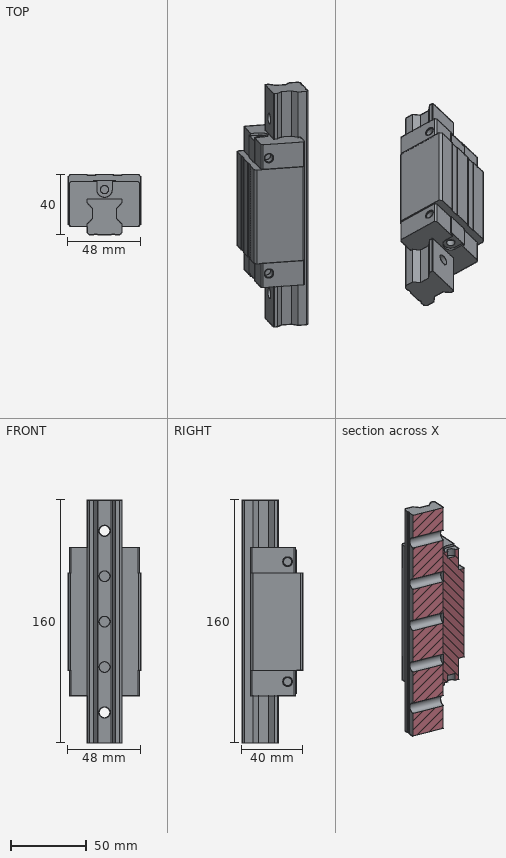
import cadquery as cq

RAIL_LENGTH = 160.0
RAIL_WIDTH = 23.0
RAIL_HEIGHT = 23.8
RAIL_WAIST_WIDTH = 15.8
RAIL_FOOT_CHAMFER = 1.6
RAIL_HEAD_CHAMFER = 0.5
FOOT_SIDE_TOP = 7.2
WAIST_BOTTOM = 10.7
WAIST_TOP = 17.5
HEAD_SIDE_BOTTOM = 21.3

FOOT_GROOVE_OFFSET = 5.8
FOOT_GROOVE_MOUTH = 2.9
FOOT_GROOVE_FLOOR = 1.3
FOOT_GROOVE_DEPTH = 0.5

BOLT_HOLE_DIAMETER = 7.0
BOLT_HOLE_PITCH = 30.0
BOLT_HOLE_COUNT = 5

CARRIAGE_LENGTH = 98.0
CARRIAGE_BOTTOM = 5.5
CARRIAGE_TOP = 40.0
BLOCK_LENGTH = 64.3
BLOCK_WIDTH = 48.0
BLOCK_CHAMFER = 1.6
CAP_WIDTH = 46.4
CAP_TOP = 35.2
CAP_CHAMFER = 1.1

TOP_GROOVE_OFFSET = 8.6
TOP_GROOVE_WIDTH = 5.6
TOP_GROOVE_DEPTH = 0.5

PORT_DIAMETER = 5.5
PORT_COUNTERSINK = 0.5
PORT_DEPTH = 6.4
PORT_HEIGHT = 30.0
PORT_INSET = 9.5
PORT_RECESS_WIDTH = 10.2
PORT_RECESS_DEPTH = 1.6

PAD_WIDTH = 14.4
PAD_HEIGHT = 0.6
PAD_LENGTH = CARRIAGE_LENGTH - 2 * PORT_RECESS_DEPTH


def rail_profile():
    """Closed outline of the rail: one half and its mirror image."""
    side = RAIL_WIDTH / 2
    waist = RAIL_WAIST_WIDTH / 2
    half = [
        (side - RAIL_FOOT_CHAMFER, 0),
        (side, RAIL_FOOT_CHAMFER),
        (side, FOOT_SIDE_TOP),
        (waist, WAIST_BOTTOM),
        (waist, WAIST_TOP),
        (side, HEAD_SIDE_BOTTOM),
        (side, RAIL_HEIGHT - RAIL_HEAD_CHAMFER),
        (side - RAIL_HEAD_CHAMFER, RAIL_HEIGHT),
    ]
    return half + [(-x, y) for x, y in reversed(half)]


def extrude_along_rail(outline, length):
    """Extrude a closed XY outline along Z, centred on Z = 0."""
    return cq.Workplane("XY").polyline(outline).close().extrude(length / 2, both=True)


def rail_bar():
    return extrude_along_rail(rail_profile(), RAIL_LENGTH)


def foot_groove(center_x):
    mouth = FOOT_GROOVE_MOUTH / 2
    floor = FOOT_GROOVE_FLOOR / 2
    outline = [
        (center_x - mouth, 0),
        (center_x + mouth, 0),
        (center_x + floor, FOOT_GROOVE_DEPTH),
        (center_x - floor, FOOT_GROOVE_DEPTH),
    ]
    return extrude_along_rail(outline, RAIL_LENGTH)


def make_rail():
    rail = rail_bar()
    for side in (-1, 1):
        rail = rail.cut(foot_groove(side * FOOT_GROOVE_OFFSET))
    bolt_holes = (
        cq.Workplane("XZ")
        .rarray(1.6, BOLT_HOLE_PITCH, 1, BOLT_HOLE_COUNT)
        .circle(BOLT_HOLE_DIAMETER / 2)
        .extrude(-RAIL_HEIGHT)
    )
    return rail.cut(bolt_holes)


def chamfered_block(width, top, length, chamfer):
    """Block standing on the carriage bottom plane with its four Z edges chamfered."""
    height = top - CARRIAGE_BOTTOM
    return (
        cq.Workplane("XY")
        .box(width, height, length)
        .edges("|Z")
        .chamfer(chamfer)
        .translate((0, CARRIAGE_BOTTOM + height / 2, 0))
    )


def top_groove(center_x):
    return cq.Workplane("XY").box(TOP_GROOVE_WIDTH, 2 * TOP_GROOVE_DEPTH, BLOCK_LENGTH).translate(
        (center_x, CARRIAGE_TOP, 0)
    )


def cap_pads():
    """One bar through the main block whose ends form the pads of both caps."""
    return cq.Workplane("XY").box(PAD_WIDTH, 2 * PAD_HEIGHT, PAD_LENGTH).translate((0, CAP_TOP, 0))


def port_hole(mouth, direction):
    """Blind port drilled from its mouth along the given direction."""
    return cq.Workplane(cq.Solid.makeCylinder(
        PORT_DIAMETER / 2, PORT_DEPTH, cq.Vector(*mouth), cq.Vector(*direction)
    ))


def side_port_countersink(side, port_z):
    """Conical mouth that widens a side port towards the cap face."""
    radius = PORT_DIAMETER / 2
    mouth = cq.Vector(side * CAP_WIDTH / 2, PORT_HEIGHT, port_z)
    return cq.Workplane(cq.Solid.makeCone(
        radius + PORT_COUNTERSINK, radius, PORT_COUNTERSINK, mouth, cq.Vector(-side, 0, 0)
    ))


def port_recess(end):
    """U-shaped recess around the end port, open at the top of the cap."""
    half_width = PORT_RECESS_WIDTH / 2
    return (
        cq.Workplane("XY", origin=(0, 0, end * CARRIAGE_LENGTH / 2))
        .moveTo(-half_width, CAP_TOP)
        .lineTo(-half_width, PORT_HEIGHT)
        .threePointArc((0, PORT_HEIGHT - half_width), (half_width, PORT_HEIGHT))
        .lineTo(half_width, CAP_TOP)
        .close()
        .extrude(-end * PORT_RECESS_DEPTH)
    )


def make_carriage():
    block = chamfered_block(BLOCK_WIDTH, CARRIAGE_TOP, BLOCK_LENGTH, BLOCK_CHAMFER)
    caps = chamfered_block(CAP_WIDTH, CAP_TOP, CARRIAGE_LENGTH, CAP_CHAMFER)
    carriage = block.union(caps).union(cap_pads())
    for side in (-1, 1):
        carriage = carriage.cut(top_groove(side * TOP_GROOVE_OFFSET))
    for end in (-1, 1):
        end_z = end * CARRIAGE_LENGTH / 2
        port_z = end_z - end * PORT_INSET
        carriage = carriage.cut(port_recess(end))
        carriage = carriage.cut(port_hole((0, PORT_HEIGHT, end_z), (0, 0, -end)))
        for side in (-1, 1):
            mouth = (side * CAP_WIDTH / 2, PORT_HEIGHT, port_z)
            carriage = carriage.cut(port_hole(mouth, (-side, 0, 0)))
            carriage = carriage.cut(side_port_countersink(side, port_z))
    return carriage.cut(rail_bar())


rail = make_rail()
carriage = make_carriage()
result = cq.Compound.makeCompound([rail.val(), carriage.val()])